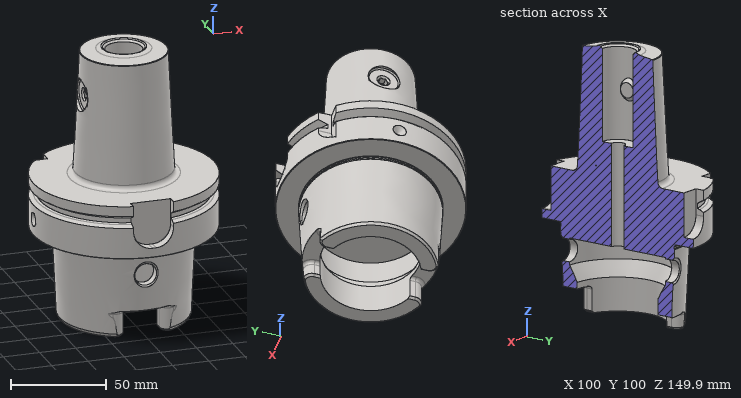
import cadquery as cq
import math


shank_length = 49.6
shank_top_radius = 37.9
shank_taper = 0.05
collar_height = 0.6
relief_height = 1.8
relief_step = 0.5
shank_end_chamfer = 0.7
shank_end_chamfer_height = 1.8
tang_chamfer = 1.2
cavity_top = -8.0
cavity_mouth_radius = 26.5
clamping_recess_radius = 31.5
clamping_recess_bottom = -22.5
clamping_cone_angle = 30.0

flange_radius = 100.0 / 2
flange_height = 29.4
flange_chamfer = 0.3
groove_radius = 46.0
groove_bottom = 17.2
groove_top = 23.8
groove_upper_bevel = 2.2
groove_lower_bevel = 1.2
groove_ledge_radius = 47.5
groove_ledge_rise = 0.5

total_height = 149.9
nose_top = total_height - shank_length
nose_base_radius = 26.7
nose_base_fillet = 3.0
nose_shoulder_radius = 23.4
nose_shoulder_drop = 2.1
nose_shoulder_chamfer = 0.3
crown_radius = 14.7
crown_drop = 1.0
rim_radius = 12.0

bore_radius = 20.0 / 2
bore_depth = 52.0
bore_lip_radius = 11.1
bore_lip_drop = 0.5
coolant_radius = 4.0

screw_height = 75.8
screw_radius = 8.0
screw_face = 22.0
screw_mouth_radius = 8.7
screw_tip = 8.0
screw_tip_radius = 4.2
screw_tip_root = 2.1
socket_flats = 5.0
socket_mouth_radius = 3.6
socket_depth = 4.5

slot_floor = 43.9
slot_bottom = 5.2
front_slot_width = 22.0
mill_width = 20.0
slot_end_radius = mill_width / 2
corner_slot_wall = 31.5
corner_slot_center = -corner_slot_wall - mill_width / 2

dimple_height = 9.1
dimple_radius = 3.7

cross_hole_height = -14.7
cross_hole_radius = 6.0
cross_hole_sink = 1.2

notch_half_width = 20.0 / 2
notch_round = 4.6
notch_face = 32.4
notch_flank_angle = 27.0
notch_flank_length = 4.5
notch_roof_fillet = 1.8
front_notch_depth = 14.8
back_notch_depth = 9.7


def shank_radius(z):
    """Radius of the tapered shank at height z."""
    return shank_top_radius + shank_taper * z


def make_body():
    """Turn the outer shape and the cavity of the shank in one profile."""
    clamping_cone_step = clamping_recess_radius - cavity_mouth_radius
    clamping_cone_height = clamping_cone_step / math.tan(math.radians(clamping_cone_angle))
    shoulder_z = nose_top - nose_shoulder_drop
    chamfer_z = shank_end_chamfer_height - shank_length
    relief_z = -collar_height - relief_height
    ledge_z = groove_bottom + groove_lower_bevel
    profile = (
        cq.Workplane("XZ")
        .moveTo(0, cavity_top)
        .lineTo(clamping_recess_radius, cavity_top)
        .lineTo(clamping_recess_radius, clamping_recess_bottom)
        .lineTo(cavity_mouth_radius, clamping_recess_bottom - clamping_cone_height)
        .lineTo(cavity_mouth_radius, -shank_length)
        .lineTo(shank_radius(-shank_length) - shank_end_chamfer, -shank_length)
        .lineTo(shank_radius(chamfer_z), chamfer_z)
        .lineTo(shank_radius(relief_z), relief_z)
        .lineTo(shank_top_radius - relief_step, relief_z + relief_step)
        .lineTo(shank_top_radius - relief_step, -collar_height - relief_step)
        .lineTo(shank_top_radius, -collar_height)
        .lineTo(shank_top_radius, 0)
        .lineTo(flange_radius - flange_chamfer, 0)
        .lineTo(flange_radius, flange_chamfer)
        .lineTo(flange_radius, groove_bottom)
        .lineTo(groove_ledge_radius, ledge_z)
        .lineTo(groove_radius, ledge_z + groove_ledge_rise)
        .lineTo(groove_radius, groove_top - groove_upper_bevel)
        .lineTo(flange_radius, groove_top)
        .lineTo(flange_radius, flange_height)
        .lineTo(nose_base_radius + nose_base_fillet, flange_height)
        .radiusArc((nose_base_radius, flange_height + nose_base_fillet), nose_base_fillet)
        .lineTo(nose_shoulder_radius, shoulder_z - nose_shoulder_chamfer)
        .lineTo(nose_shoulder_radius - nose_shoulder_chamfer, shoulder_z)
        .lineTo(crown_radius, nose_top - crown_drop)
        .lineTo(rim_radius, nose_top)
        .lineTo(0, nose_top)
        .close()
    )
    return profile.revolve(360, (0, 0, 0), (0, 1, 0))


def make_bore():
    """Tool bore with a two-step chamfered mouth and a coolant hole below it."""
    lip_z = nose_top - bore_lip_drop
    floor_z = nose_top - bore_depth
    profile = (
        cq.Workplane("XZ")
        .moveTo(0, nose_top)
        .lineTo(rim_radius, nose_top)
        .lineTo(bore_lip_radius, lip_z)
        .lineTo(bore_radius, lip_z - (bore_lip_radius - bore_radius))
        .lineTo(bore_radius, floor_z)
        .lineTo(coolant_radius, floor_z)
        .lineTo(coolant_radius, cavity_top)
        .lineTo(0, cavity_top)
        .close()
    )
    return profile.revolve(360, (0, 0, 0), (0, 1, 0))


def turned_about_x(points, height):
    """Solid turned about a line along X; each point is (x, radius)."""
    outline = cq.Workplane("XY").polyline(points).close()
    return outline.revolve(360, (0, 0, 0), (1, 0, 0)).translate((0, 0, height))


def make_screw_mouth():
    """Chamfered mouth of the screw hole, down to the face of the screw."""
    chamfer_x = -screw_face - (screw_mouth_radius - screw_radius)
    return turned_about_x(
        [
            (-flange_radius, 0),
            (-flange_radius, screw_mouth_radius),
            (chamfer_x, screw_mouth_radius),
            (-screw_face, screw_radius),
            (-screw_face, 0),
        ],
        screw_height,
    )


def make_socket():
    """Hexagon socket of the screw with a countersunk mouth and a conical end."""
    corner_radius = socket_flats / 2 / math.cos(math.pi / 6)
    floor_x = -screw_face + socket_depth
    hexagon = (
        cq.Workplane("YZ", origin=(-screw_face, 0, screw_height))
        .polygon(6, 2 * corner_radius)
        .extrude(socket_depth)
    )
    countersink = turned_about_x(
        [
            (-screw_face, 0),
            (-screw_face, socket_mouth_radius),
            (-screw_face + socket_mouth_radius, 0),
        ],
        screw_height,
    )
    drill_point = turned_about_x(
        [(floor_x, 0), (floor_x, socket_flats / 2), (floor_x + socket_flats / 2, 0)],
        screw_height,
    )
    return hexagon.union(countersink).union(drill_point)


def make_screw_tip():
    """Conical screw tip that reaches into the tool bore."""
    root_x = -bore_radius - screw_tip_root
    root_radius = screw_tip_radius - root_x - screw_tip
    return turned_about_x(
        [(root_x, 0), (root_x, root_radius), (-screw_tip, screw_tip_radius), (-screw_tip, 0)],
        screw_height,
    )


def make_round_slot(width, center_x, inner_y, outer_y):
    """Slot along Y, open at the flange top, with rounded lower corners."""
    left = center_x - width / 2
    right = center_x + width / 2
    corner_z = slot_bottom + slot_end_radius
    outline = (
        cq.Workplane("XZ", origin=(0, inner_y, 0))
        .moveTo(left, flange_height)
        .lineTo(left, corner_z)
        .radiusArc((left + slot_end_radius, slot_bottom), -slot_end_radius)
    )
    if width > 2 * slot_end_radius:
        outline = outline.lineTo(right - slot_end_radius, slot_bottom)
    outline = outline.radiusArc((right, corner_z), -slot_end_radius)
    return outline.lineTo(right, flange_height).close().extrude(inner_y - outer_y)


def make_dimple():
    """Cone with a right-angled point, sunk into the flange from -X."""
    return turned_about_x(
        [
            (-flange_radius, 0),
            (-flange_radius, dimple_radius),
            (-flange_radius + dimple_radius, 0),
        ],
        dimple_height,
    )


def make_cross_hole():
    """Hole along Y through both shank walls, countersunk on the outside."""
    surface_y = shank_radius(cross_hole_height)
    sink_radius = cross_hole_radius + cross_hole_sink
    flare = shank_top_radius - surface_y
    half = (
        cq.Workplane("XY")
        .moveTo(0, 0)
        .lineTo(cross_hole_radius, 0)
        .lineTo(cross_hole_radius, surface_y - cross_hole_sink)
        .lineTo(sink_radius + flare, shank_top_radius)
        .lineTo(0, shank_top_radius)
        .close()
        .revolve(360, (0, 0, 0), (0, 1, 0))
    )
    return half.union(half.mirror("XZ")).translate((0, 0, cross_hole_height))


def notch_outline(sketch, growth):
    """Draw half of the drive notch, its flanks moved into the tang by growth."""
    angle = math.radians(notch_flank_angle)
    wall_x = notch_half_width + growth
    radius = notch_round - growth
    round_x = wall_x + radius
    round_y = notch_round - notch_face
    reach_x = radius * math.sin(angle)
    reach_y = radius * math.cos(angle)
    flank_x = notch_flank_length * math.cos(angle)
    flank_y = notch_flank_length * math.sin(angle)
    return (
        sketch.moveTo(0, 0)
        .lineTo(wall_x, 0)
        .lineTo(wall_x, round_y)
        .threePointArc((round_x - reach_x, round_y - reach_y), (round_x + reach_x, round_y - reach_y))
        .line(flank_x, flank_y)
        .lineTo(round_x + reach_x + flank_x, -flange_radius)
        .lineTo(0, -flange_radius)
        .close()
    )


def make_notch(depth):
    """Drive notch on the -Y side whose side walls turn outward over a round."""
    end_plane = cq.Workplane("XY", origin=(0, 0, -shank_length))
    half = notch_outline(end_plane, 0).extrude(depth)
    notch = half.union(half.mirror("YZ")).clean()
    notch = notch.faces(">Z").edges().fillet(notch_roof_fillet)
    end_outline = notch_outline(end_plane, tang_chamfer)
    flare = notch_outline(end_outline.workplane(offset=tang_chamfer), 0).loft(ruled=True)
    return notch.union(flare).union(flare.mirror("YZ"))


body = make_body()
body = body.cut(make_notch(front_notch_depth))
body = body.cut(make_notch(back_notch_depth).mirror("XZ"))
body = body.cut(make_cross_hole())

body = body.cut(make_bore())
body = body.cut(make_screw_mouth())
body = body.cut(make_socket())
body = body.union(make_screw_tip())

body = body.cut(make_round_slot(front_slot_width, 0, -slot_floor, -flange_radius))
body = body.cut(make_round_slot(mill_width, 0, flange_radius, slot_floor))
body = body.cut(make_round_slot(mill_width, corner_slot_center, flange_radius, corner_slot_wall))
result = body.cut(make_dimple())